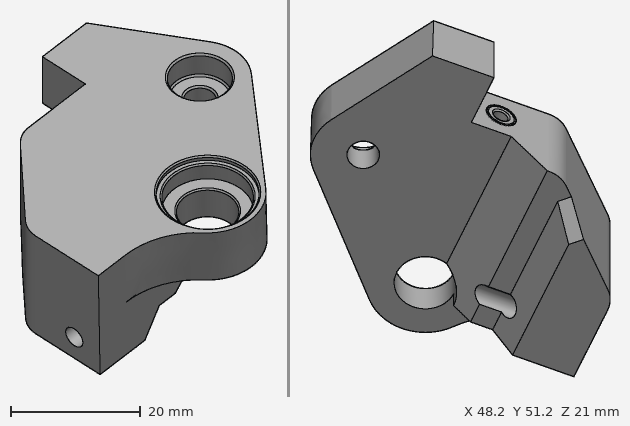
import cadquery as cq
import math


length_y = 51.15
flange_depth = 10.0
step_depth = 16.0
block_depth = 21.0

draft_angle = 1.0
small_bore_x = -18.0
small_bore_y = 18.0
small_boss_radius = 8.0
large_boss_radius = 9.0
waist_radius = 15.0
rear_wall_angle = 30.0
overrun = 10.25

left_x = -39.0
notch_x = -30.05
notch_y = 5.0
corner_cut = 15.0
corner_radius = 5.0
rear_spread = flange_depth * math.tan(math.radians(draft_angle))
rear_y = small_bore_y + small_boss_radius + rear_spread
front_y = rear_y - length_y

flange_end_y = -1.65
step_end_y = -11.35
block_end_y = -14.75
block_start = 4.2

small_bore_chamfer = 0.3
large_bore_chamfer = 0.25
large_ledge_radius = 7.95
large_ledge_depth = 0.85
large_seat_radius = 7.05
large_seat_depth = 4.0
large_hole_radius = 4.8
small_seat_radius = 5.0
small_seat_depth = 4.5
small_hole_radius = 2.5

cross_hole_radius = 1.8
cross_hole_x = -5.0
cross_hole_depth = 16.5

insert_depth = flange_depth / 2
insert_core_radius = 2.15
insert_length = 6.0
insert_hole_radius = 1.25
insert_chamfer = 0.25
knurl_teeth = 22
knurl_tip_radius = 2.5
knurl_root_radius = 2.2
knurl_tip_share = 0.6
knurl_setback = 0.025


def on_circle(center, radius, angle):
    """Point on a circle at an angle in radians."""
    return (center[0] + radius * math.cos(angle), center[1] + radius * math.sin(angle))


def make_drafted_block():
    """Full-depth block whose rear and right walls spread toward the bottom."""
    small = (small_bore_x, small_bore_y)
    large = (0, 0)

    rear_angle = math.radians(90 + rear_wall_angle)
    spacing = math.hypot(small_bore_x, small_bore_y)
    centers_angle = math.atan2(-small_bore_y, -small_bore_x)
    long_wall_angle = centers_angle + math.acos((small_boss_radius - large_boss_radius) / spacing)

    reach = large_boss_radius + waist_radius
    waist = (waist_radius, -math.sqrt(reach**2 - waist_radius**2))
    waist_angle = math.atan2(waist[1], waist[0])
    waist_start_angle = waist_angle + math.pi
    waist_end_angle = math.pi
    waist_mid_angle = (waist_start_angle + waist_end_angle) / 2

    rear_touch = on_circle(small, small_boss_radius, rear_angle)
    far_left = left_x - overrun
    far_front = front_y - overrun
    rear_start_y = rear_touch[1] - (rear_touch[0] - far_left) * math.tan(math.radians(rear_wall_angle))

    return (
        cq.Workplane("XY")
        .moveTo(far_left, rear_start_y)
        .lineTo(*rear_touch)
        .threePointArc(
            on_circle(small, small_boss_radius, (rear_angle + long_wall_angle) / 2),
            on_circle(small, small_boss_radius, long_wall_angle),
        )
        .lineTo(*on_circle(large, large_boss_radius, long_wall_angle))
        .threePointArc(
            on_circle(large, large_boss_radius, (long_wall_angle + waist_angle) / 2),
            on_circle(large, large_boss_radius, waist_angle),
        )
        .threePointArc(on_circle(waist, waist_radius, waist_mid_angle), (0, waist[1]))
        .lineTo(0, far_front)
        .lineTo(far_left, far_front)
        .close()
        .extrude(-block_depth, taper=-draft_angle)
    )


def make_straight_walls():
    """Prism with the straight left and front walls, open-ended elsewhere."""
    far_right = large_boss_radius + overrun
    far_rear = rear_y + overrun
    prism = (
        cq.Workplane("XY")
        .polyline([
            (left_x, far_rear),
            (left_x, notch_y),
            (notch_x, notch_y),
            (notch_x, front_y + corner_cut),
            (notch_x + corner_cut, front_y),
            (far_right, front_y),
            (far_right, far_rear),
        ])
        .close()
        .extrude(-block_depth)
    )
    for x, y in [(notch_x, front_y + corner_cut), (notch_x + corner_cut, front_y)]:
        corner = cq.selectors.NearestToPointSelector((x, y, -block_depth / 2))
        prism = prism.edges(corner).fillet(corner_radius)
    return prism


def make_underside_cut():
    """Space below the flange, its 45 degree slope, the step and the block's rear slope."""
    slope_end_y = flange_end_y - (step_depth - flange_depth)
    far_rear = rear_y + overrun
    return (
        cq.Workplane("YZ")
        .polyline([
            (far_rear, -flange_depth),
            (flange_end_y, -flange_depth),
            (slope_end_y, -step_depth),
            (step_end_y, -step_depth),
            (block_end_y, -block_depth),
            (far_rear, -block_depth),
        ])
        .close()
        .extrude(length_y, both=True)
    )


def make_block_end_cut():
    """45 degree slope that ends the thick block, square to the angled front-left wall."""
    shift = block_start / math.sqrt(2)
    drop = block_depth - step_depth
    start = (notch_x + shift, front_y + corner_cut - shift, -step_depth)
    square_to_wall = cq.Plane(origin=start, xDir=(1, -1, 0), normal=(-1, -1, 0))
    return (
        cq.Workplane(square_to_wall)
        .polyline([(0, 0), (drop, -drop), (-length_y, -drop), (-length_y, 0)])
        .close()
        .extrude(length_y, both=True)
    )


def make_right_side_cut():
    """Space below the flange to the right of the block's drafted right wall."""
    lean = math.tan(math.radians(draft_angle))
    far_right = large_boss_radius + overrun
    return (
        cq.Workplane("XZ")
        .polyline([
            (flange_depth * lean, -flange_depth),
            (far_right, -flange_depth),
            (far_right, -block_depth),
            (block_depth * lean, -block_depth),
        ])
        .close()
        .extrude(length_y, both=True)
    )


def make_large_bore():
    """Ledge, seat and through hole of the large bore, each with a chamfered mouth."""
    return (
        cq.Workplane("XZ")
        .polyline([
            (0, 0),
            (large_ledge_radius + large_bore_chamfer, 0),
            (large_ledge_radius, -large_bore_chamfer),
            (large_ledge_radius, -large_ledge_depth),
            (large_seat_radius + large_bore_chamfer, -large_ledge_depth),
            (large_seat_radius, -large_ledge_depth - large_bore_chamfer),
            (large_seat_radius, -large_seat_depth),
            (large_hole_radius + large_bore_chamfer, -large_seat_depth),
            (large_hole_radius, -large_seat_depth - large_bore_chamfer),
            (large_hole_radius, -block_depth),
            (0, -block_depth),
        ])
        .close()
        .revolve(360, (0, 0), (0, 1))
    )


def make_small_bore():
    """Seat with a chamfered mouth and beveled floor corner, and a through hole."""
    return (
        cq.Workplane("XZ")
        .polyline([
            (0, 0),
            (small_seat_radius + small_bore_chamfer, 0),
            (small_seat_radius, -small_bore_chamfer),
            (small_seat_radius, -small_seat_depth + small_bore_chamfer),
            (small_seat_radius - small_bore_chamfer, -small_seat_depth),
            (small_hole_radius + small_bore_chamfer, -small_seat_depth),
            (small_hole_radius, -small_seat_depth - small_bore_chamfer),
            (small_hole_radius, -block_depth),
            (0, -block_depth),
        ])
        .close()
        .revolve(360, (0, 0), (0, 1))
        .translate((small_bore_x, small_bore_y, 0))
    )


def make_cross_hole():
    """Hole through the thick block along Y."""
    return (
        cq.Workplane("XZ")
        .center(cross_hole_x, -cross_hole_depth)
        .circle(cross_hole_radius)
        .extrude(length_y, both=True)
    )


def notch_wall_disc(radius, depth):
    """Cylinder that runs into the notch wall on the insert's axis."""
    return (
        cq.Workplane("YZ", origin=(notch_x, 0, -insert_depth))
        .circle(radius)
        .extrude(depth)
    )


def make_knurl():
    """Solid with flat-tipped teeth and V grooves all around, set back from the notch wall."""
    tooth_pitch = 2 * math.pi / knurl_teeth
    half_tip = knurl_tip_share * tooth_pitch / 2
    points = []
    for tooth in range(knurl_teeth):
        angle = tooth * tooth_pitch
        points.append(on_circle((0, 0), knurl_tip_radius, angle - half_tip))
        points.append(on_circle((0, 0), knurl_tip_radius, angle + half_tip))
        points.append(on_circle((0, 0), knurl_root_radius, angle + tooth_pitch / 2))
    return (
        cq.Workplane("YZ", origin=(notch_x + knurl_setback, 0, -insert_depth))
        .polyline(points)
        .close()
        .extrude(insert_length - knurl_setback)
    )


def make_insert_blank():
    """Smooth core with the knurl around it, before the hole is made."""
    return notch_wall_disc(insert_core_radius, insert_length).union(make_knurl())


def make_housing():
    """Bracket with its bores, cross hole and a pocket that fits the insert."""
    knurl_mouth = make_knurl().translate((-knurl_setback, 0, 0))
    return (
        make_drafted_block()
        .intersect(make_straight_walls())
        .cut(make_underside_cut())
        .cut(make_block_end_cut())
        .cut(make_right_side_cut())
        .cut(make_large_bore())
        .cut(make_small_bore())
        .cut(make_cross_hole())
        .cut(make_insert_blank())
        .cut(knurl_mouth)
    )


def make_insert():
    """Knurled sleeve with a through hole and a chamfered mouth."""
    hole_edge = cq.selectors.RadiusNthSelector(0)
    return (
        make_insert_blank()
        .cut(notch_wall_disc(insert_hole_radius, insert_length))
        .faces("<X")
        .edges(hole_edge)
        .chamfer(insert_chamfer)
    )


housing = make_housing()
insert = make_insert()

result = cq.Compound.makeCompound([housing.solids().val(), insert.solids().val()])